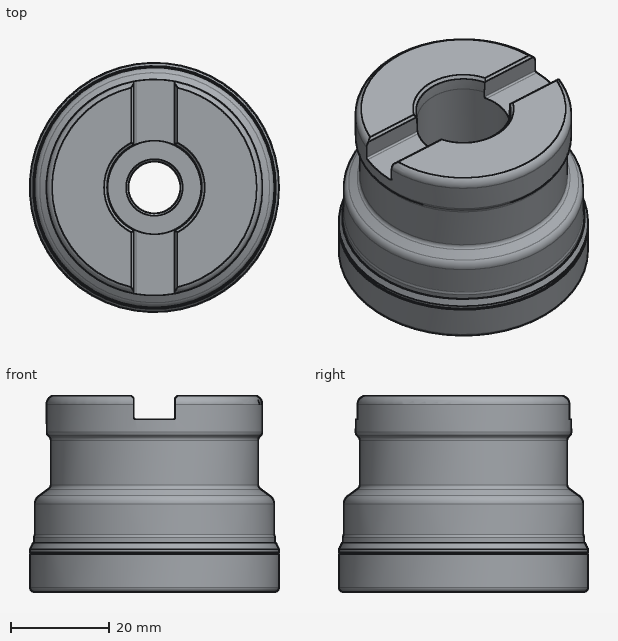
import cadquery as cq
import math

height = 40.0
base_radius = 25.4
base_edge_round = 1.0

groove_bottom_z = 7.7
groove_top_z = 8.1
groove_depth = 0.15

collar_top_z = 8.75
flare_top_z = 10.05
flare_top_radius = 24.75
lip_top_z = 11.25
lip_radius = 24.6
shoulder_start_z = 11.8

shoulder_radius = 48.8 / 2
shoulder_wall_top_z = 18.0
shoulder_blend = 2.0
cone_top_z = 21.0
neck_radius = 42.3 / 2
neck_blend = 1.0
cone_slope = math.radians(30)

head_radius = 44.0 / 2
head_bottom_z = 32.6
underside_blend = 1.0
underside_slope = math.radians(45)
head_edge_height = 1.8
head_edge_round = 2.0
top_face_radius = 20.85

bore_radius = 19.05 / 2
bore_floor_z = 20.0
bore_chamfer = 0.6
mouth_radius = 9.65
mouth_depth = 3.2
hole_radius = 10.5 / 2
hole_chamfer = 0.5

slot_width = 8.4
slot_depth = 4.8
slot_floor_round = 0.35
slot_edge_chamfer = 0.5


def outer_body():
    """Revolve the outer outline, drawn as (radius, z)."""
    cone_bottom = (
        shoulder_radius - shoulder_blend * (1 - math.sin(cone_slope)),
        shoulder_wall_top_z + shoulder_blend * math.cos(cone_slope),
    )
    cone_top = (neck_radius + neck_blend * (1 - math.sin(cone_slope)), cone_top_z)
    neck_bottom = (neck_radius, cone_top_z + neck_blend * math.cos(cone_slope))
    blend_inset = underside_blend * (1 - math.sin(underside_slope))
    blend_height = underside_blend * math.cos(underside_slope)
    underside_top = (head_radius - blend_inset, head_bottom_z - blend_height)
    underside_bottom_radius = neck_radius + blend_inset
    underside_cone_height = (underside_top[0] - underside_bottom_radius) * math.tan(underside_slope)
    underside_bottom = (underside_bottom_radius, underside_top[1] - underside_cone_height)
    neck_top = (neck_radius, underside_bottom[1] - blend_height)
    outline = (
        cq.Workplane("XZ")
        .lineTo(base_radius - base_edge_round, 0)
        .radiusArc((base_radius, base_edge_round), -base_edge_round)
        .lineTo(base_radius, groove_bottom_z)
        .lineTo(base_radius - groove_depth, (groove_bottom_z + groove_top_z) / 2)
        .lineTo(base_radius, groove_top_z)
        .lineTo(base_radius, collar_top_z)
        .lineTo(flare_top_radius, flare_top_z)
        .lineTo(lip_radius, flare_top_z)
        .lineTo(lip_radius, lip_top_z)
        .lineTo(shoulder_radius, shoulder_start_z)
        .lineTo(shoulder_radius, shoulder_wall_top_z)
        .radiusArc(cone_bottom, -shoulder_blend)
        .lineTo(*cone_top)
        .radiusArc(neck_bottom, neck_blend)
        .lineTo(*neck_top)
        .radiusArc(underside_bottom, underside_blend)
        .lineTo(*underside_top)
        .radiusArc((head_radius, head_bottom_z), -underside_blend)
        .lineTo(head_radius, height - head_edge_height)
        .radiusArc((top_face_radius, height), -head_edge_round)
        .lineTo(0, height)
        .close()
    )
    return outline.revolve(360, (0, 0, 0), (0, 1, 0))


def bore():
    """Chamfered, slightly flared bore with a smaller through hole in its floor."""
    outline = (
        cq.Workplane("XZ")
        .lineTo(hole_radius, 0)
        .lineTo(hole_radius, bore_floor_z - hole_chamfer)
        .lineTo(hole_radius + hole_chamfer, bore_floor_z)
        .lineTo(bore_radius, bore_floor_z)
        .lineTo(bore_radius, height - mouth_depth)
        .lineTo(mouth_radius, height - bore_chamfer)
        .lineTo(mouth_radius + bore_chamfer, height)
        .lineTo(0, height)
        .close()
    )
    return outline.revolve(360, (0, 0, 0), (0, 1, 0))


def slot():
    """Slot along Y with rounded floor corners and chamfered upper edges."""
    half_width = slot_width / 2
    floor_z = height - slot_depth
    outline = (
        cq.Workplane("XZ")
        .moveTo(-half_width + slot_floor_round, floor_z)
        .lineTo(half_width - slot_floor_round, floor_z)
        .radiusArc((half_width, floor_z + slot_floor_round), -slot_floor_round)
        .lineTo(half_width, height - slot_edge_chamfer)
        .lineTo(half_width + slot_edge_chamfer, height)
        .lineTo(-half_width - slot_edge_chamfer, height)
        .lineTo(-half_width, height - slot_edge_chamfer)
        .lineTo(-half_width, floor_z + slot_floor_round)
        .radiusArc((-half_width + slot_floor_round, floor_z), -slot_floor_round)
        .close()
    )
    return outline.extrude(base_radius, both=True)


result = outer_body().cut(bore()).cut(slot())